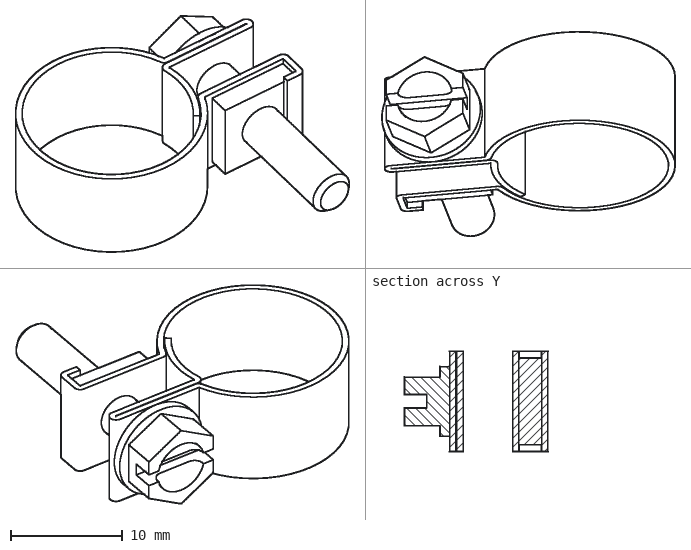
import cadquery as cq
import math

overall_length = 25.83
band_width = 9.0
sheet = 0.6
ring_radius = 8.6
ring_inner_radius = ring_radius - sheet
leg_offset = 3.13
leg_top = overall_length - ring_radius
fold_gap = 0.05
tongue_gap = 0.1
tongue_radius = ring_inner_radius - tongue_gap
tongue_inner_radius = tongue_radius - sheet
tongue_end_angle = 52
hook_end = 15.27

flange_diameter = band_width
flange_thickness = 0.85
head_height = 3.18
head_across_flats = 7.0
shank_diameter = 4.0
screw_tip = 16.5
tip_chamfer_length = 0.52
tip_chamfer_depth = 0.46
slot_width = 1.2
slot_depth = 2.0
recess_diameter = 5.0
recess_depth = 1.0
recess_fillet = 0.83
screw_y = leg_top - flange_diameter / 2

nut_side = 7.8
nut_thickness = 2.0


def on_circle(radius, degrees):
    angle = math.radians(degrees)
    return (radius * math.cos(angle), radius * math.sin(angle))


def angle_of(point):
    return math.degrees(math.atan2(point[1], point[0]))


def circle_point_at(radius, x):
    """Point with the given x on the upper half of a circle about the ring axis."""
    return (x, math.sqrt(radius**2 - x**2))


def corner_middle(center, toward_x, toward_y):
    """Middle of a quarter bend of sheet radius, in the given diagonal direction."""
    step = sheet * math.sqrt(0.5)
    return (center[0] + toward_x * step, center[1] + toward_y * step)


def bend_middle(center, start_angle, end_angle):
    """Middle of a bend of sheet radius between two directions."""
    dx, dy = on_circle(sheet, (start_angle + end_angle) / 2)
    return (center[0] + dx, center[1] + dy)


def screw_cylinder(diameter, start_x, length):
    plane = cq.Workplane("YZ", origin=(start_x, screw_y, 0))
    return plane.circle(diameter / 2).extrude(length)


def make_band():
    left_corner = circle_point_at(ring_radius, -leg_offset)
    right_corner = circle_point_at(ring_radius, leg_offset)
    fold_right = -leg_offset + 2 * sheet + fold_gap
    tongue_corner = circle_point_at(tongue_radius, fold_right)

    left_inner = -leg_offset + sheet
    fold_inner = fold_right - sheet
    right_inner = leg_offset - sheet
    bend_y = leg_top - sheet
    hook_inner = leg_offset + nut_thickness

    tongue_start_angle = angle_of(tongue_corner)
    tongue_middle_angle = (tongue_start_angle + tongue_end_angle) / 2

    left_angle = angle_of(left_corner)
    right_angle = angle_of(right_corner)
    left_bend_end = on_circle(ring_inner_radius, left_angle)
    right_bend_end = on_circle(ring_inner_radius, right_angle)
    tongue_bend_end = on_circle(tongue_inner_radius, tongue_start_angle)

    outline = (
        cq.Workplane("XY", origin=(0, 0, -band_width / 2))
        .moveTo(*left_corner)
        .lineTo(-leg_offset, bend_y)
        .threePointArc(corner_middle((left_inner, bend_y), -1, 1), (left_inner, leg_top))
        .lineTo(fold_inner, leg_top)
        .threePointArc(corner_middle((fold_inner, bend_y), 1, 1), (fold_right, bend_y))
        .lineTo(*tongue_corner)
        .threePointArc(
            on_circle(tongue_radius, tongue_middle_angle),
            on_circle(tongue_radius, tongue_end_angle),
        )
        .lineTo(*on_circle(tongue_inner_radius, tongue_end_angle))
        .threePointArc(on_circle(tongue_inner_radius, tongue_middle_angle), tongue_bend_end)
        .threePointArc(
            bend_middle(tongue_corner, 180, tongue_start_angle + 180),
            (fold_inner, tongue_corner[1]),
        )
        .lineTo(fold_inner, bend_y)
        .lineTo(left_inner, bend_y)
        .lineTo(left_inner, left_corner[1])
        .threePointArc(bend_middle(left_corner, 0, left_angle - 180), left_bend_end)
        .threePointArc((0, -ring_inner_radius), right_bend_end)
        .threePointArc(
            bend_middle(right_corner, 180, right_angle + 180),
            (right_inner, right_corner[1]),
        )
        .lineTo(right_inner, bend_y)
        .threePointArc(corner_middle((leg_offset, bend_y), -1, 1), (leg_offset, leg_top))
        .lineTo(hook_inner, leg_top)
        .threePointArc(corner_middle((hook_inner, bend_y), 1, 1), (hook_inner + sheet, bend_y))
        .lineTo(hook_inner + sheet, hook_end)
        .lineTo(hook_inner, hook_end)
        .lineTo(hook_inner, bend_y)
        .lineTo(leg_offset, bend_y)
        .lineTo(*right_corner)
        .threePointArc((0, -ring_radius), left_corner)
        .close()
    )
    screw_hole = screw_cylinder(shank_diameter, -leg_offset, 2 * leg_offset)
    return outline.extrude(band_width).cut(screw_hole)


def make_screw():
    flange_x = -leg_offset - flange_thickness
    head_x = flange_x - head_height
    flange = screw_cylinder(flange_diameter, flange_x, flange_thickness)

    head = (
        cq.Workplane("YZ", origin=(head_x, screw_y, 0))
        .polygon(6, head_across_flats, circumscribed=True)
        .extrude(head_height)
    )
    recess = (
        screw_cylinder(recess_diameter, head_x, recess_depth)
        .faces(">X")
        .edges()
        .fillet(recess_fillet)
    )
    slot = (
        cq.Workplane("XY")
        .box(slot_depth, flange_diameter, slot_width, centered=(False, True, True))
        .translate((head_x, screw_y, 0))
    )

    shank_radius = shank_diameter / 2
    shank = (
        cq.Workplane("XY", origin=(0, screw_y, 0))
        .moveTo(-leg_offset, 0)
        .lineTo(-leg_offset, shank_radius)
        .lineTo(screw_tip - tip_chamfer_length, shank_radius)
        .lineTo(screw_tip, shank_radius - tip_chamfer_depth)
        .lineTo(screw_tip, 0)
        .close()
        .revolve(360, (0, 0, 0), (1, 0, 0))
    )
    return head.cut(recess).cut(slot).union(flange).union(shank)


def make_nut():
    nut_top = leg_top - sheet
    plate = (
        cq.Workplane("XY")
        .box(nut_thickness, nut_side, nut_side, centered=(False, False, True))
        .translate((leg_offset, nut_top - nut_side, 0))
    )
    return plate.cut(screw_cylinder(shank_diameter, leg_offset, nut_thickness))


band = make_band()
screw = make_screw()
nut = make_nut()

result = cq.Compound.makeCompound([band.val(), screw.val(), nut.val()])